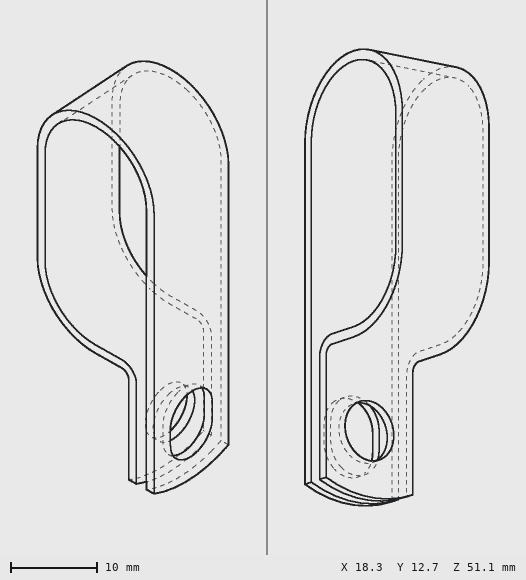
import cadquery as cq

total_height = 51.15
loop_width = 18.3
strip_width = 12.7
thickness = 1.25
loop_straight = 15.85
leg_gap = 1.55
leg_bend_inner = 1.1
hole_diameter = 7.1
hole_height = 7.95
slot_travel = 2.3
tip_sag = 1.35

outer_radius = loop_width / 2
inner_radius = outer_radius - thickness
upper_center_z = total_height - outer_radius
lower_center_z = upper_center_z - loop_straight
loop_bottom_outer = lower_center_z - outer_radius
loop_bottom_inner = loop_bottom_outer + thickness
short_leg_right = inner_radius - leg_gap
short_leg_left = short_leg_right - thickness
leg_bend_outer = leg_bend_inner + thickness
leg_bend_x = short_leg_left - leg_bend_inner
leg_bend_z = loop_bottom_outer - leg_bend_inner


def bent_strip():
    """Constant-thickness strip, outlined in XZ and extruded along Y."""
    return (
        cq.Workplane("XZ")
        .moveTo(outer_radius, 0)
        .lineTo(outer_radius, upper_center_z)
        .threePointArc((0, total_height), (-outer_radius, upper_center_z))
        .lineTo(-outer_radius, lower_center_z)
        .radiusArc((0, loop_bottom_outer), -outer_radius)
        .lineTo(leg_bend_x, loop_bottom_outer)
        .radiusArc((short_leg_left, leg_bend_z), leg_bend_inner)
        .lineTo(short_leg_left, 0)
        .lineTo(short_leg_right, 0)
        .lineTo(short_leg_right, leg_bend_z)
        .radiusArc((leg_bend_x, loop_bottom_inner), -leg_bend_outer)
        .lineTo(0, loop_bottom_inner)
        .radiusArc((-inner_radius, lower_center_z), inner_radius)
        .lineTo(-inner_radius, upper_center_z)
        .threePointArc((0, upper_center_z + inner_radius), (inner_radius, upper_center_z))
        .lineTo(inner_radius, 0)
        .close()
        .extrude(strip_width / 2, both=True)
    )


def side_envelope():
    """Block with an arched lower edge that rounds both leg tips."""
    half_width = strip_width / 2
    return (
        cq.Workplane("YZ")
        .moveTo(-half_width, total_height)
        .lineTo(-half_width, tip_sag)
        .threePointArc((0, 0), (half_width, tip_sag))
        .lineTo(half_width, total_height)
        .close()
        .extrude(outer_radius, both=True)
    )


def short_leg_hole():
    """Round bolt hole along X, reaching only as far as the gap between the legs."""
    return (
        cq.Workplane("YZ", origin=(0, 0, hole_height))
        .circle(hole_diameter / 2)
        .extrude(inner_radius)
    )


def long_leg_slot():
    """Upright bolt slot along X through the long leg."""
    return (
        cq.Workplane("YZ", origin=(inner_radius, 0, hole_height))
        .slot2D(hole_diameter + slot_travel, hole_diameter, 90)
        .extrude(thickness)
    )


result = bent_strip().intersect(side_envelope()).cut(short_leg_hole()).cut(long_leg_slot())